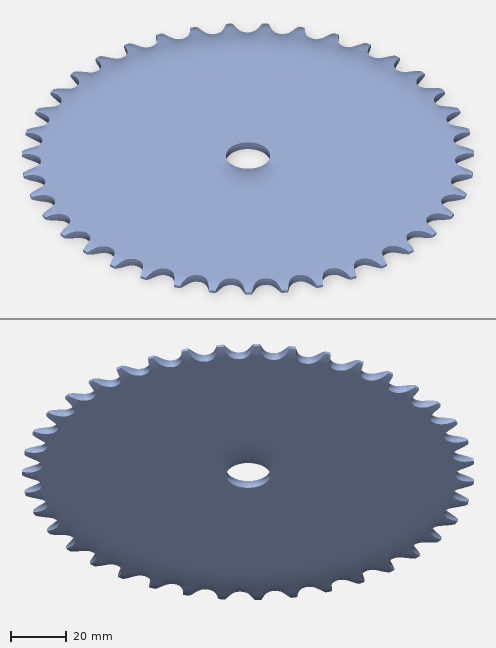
import cadquery as cq
import math

TOOTH_COUNT = 39
CHAIN_PITCH = 12.7
ROLLER_DIAMETER = 7.75
TIP_DIAMETER = 163.78
THICKNESS = 3.0
BORE_DIAMETER = 16.0
TOOTH_SIDE_RADIUS = 13.0
TOOTH_SIDE_DEPTH = 1.0
ROLLER_CLEARANCE = 0.038
FIRST_GAP_DIRECTION = 90.0
CUT_CLEARANCE = 1.5

TOOTH_ANGLE = 360.0 / TOOTH_COUNT
PITCH_RADIUS = CHAIN_PITCH / 2 / math.sin(math.pi / TOOTH_COUNT)
SEAT_RADIUS = 0.5025 * ROLLER_DIAMETER + ROLLER_CLEARANCE
SEAT_HALF_ANGLE = 55 - 60 / TOOTH_COUNT
WORKING_RADIUS = 1.3025 * ROLLER_DIAMETER + ROLLER_CLEARANCE
WORKING_ANGLE = 18 - 56 / TOOTH_COUNT
ROOT_RADIUS = PITCH_RADIUS - SEAT_RADIUS
TIP_RADIUS = TIP_DIAMETER / 2
TOOTH_SIDE_LENGTH = math.sqrt(TOOTH_SIDE_RADIUS**2 - (TOOTH_SIDE_RADIUS - TOOTH_SIDE_DEPTH) ** 2)
FACE_RADIUS = TIP_RADIUS - TOOTH_SIDE_LENGTH


def make_blank():
    """Turned disc with rounded rim sides and the central bore."""
    half = THICKNESS / 2
    bore = BORE_DIAMETER / 2
    tip_half = half - TOOTH_SIDE_DEPTH
    mid_angle = math.asin(TOOTH_SIDE_LENGTH / TOOTH_SIDE_RADIUS) / 2
    mid_radius = FACE_RADIUS + TOOTH_SIDE_RADIUS * math.sin(mid_angle)
    mid_half = half - TOOTH_SIDE_RADIUS * (1 - math.cos(mid_angle))
    return (
        cq.Workplane("XZ")
        .moveTo(bore, -half)
        .lineTo(FACE_RADIUS, -half)
        .threePointArc((mid_radius, -mid_half), (TIP_RADIUS, -tip_half))
        .lineTo(TIP_RADIUS, tip_half)
        .threePointArc((mid_radius, mid_half), (FACE_RADIUS, half))
        .lineTo(bore, half)
        .close()
        .revolve(360, (0, 0, 0), (0, 1, 0))
    )


def make_gap_cutter():
    """Tooth gap on +X: roller seat, wider concave working curve and straight flank, all tangent."""

    def arc_point(center, radius, angle):
        """Point of an arc, with the angle measured from the inward radial direction."""
        return (
            center[0] - radius * math.cos(math.radians(angle)),
            center[1] + radius * math.sin(math.radians(angle)),
        )

    def mirrored(point):
        return point[0], -point[1]

    seat_center = (PITCH_RADIUS, 0)
    seat_end = arc_point(seat_center, SEAT_RADIUS, SEAT_HALF_ANGLE)
    working_center = arc_point(seat_center, SEAT_RADIUS - WORKING_RADIUS, SEAT_HALF_ANGLE)
    working_end_angle = SEAT_HALF_ANGLE + WORKING_ANGLE
    working_mid = arc_point(working_center, WORKING_RADIUS, SEAT_HALF_ANGLE + WORKING_ANGLE / 2)
    working_end = arc_point(working_center, WORKING_RADIUS, working_end_angle)

    outer_x = TIP_RADIUS + CUT_CLEARANCE
    flank_slope = 1 / math.tan(math.radians(working_end_angle))
    outer = (outer_x, working_end[1] + (outer_x - working_end[0]) * flank_slope)
    return (
        cq.Workplane("XY")
        .workplane(offset=-THICKNESS / 2 - CUT_CLEARANCE)
        .moveTo(*mirrored(seat_end))
        .threePointArc((ROOT_RADIUS, 0), seat_end)
        .threePointArc(working_mid, working_end)
        .lineTo(*outer)
        .lineTo(*mirrored(outer))
        .lineTo(*mirrored(working_end))
        .threePointArc(mirrored(working_mid), mirrored(seat_end))
        .close()
        .extrude(THICKNESS + 2 * CUT_CLEARANCE)
    )


def cut_tooth_gaps(blank):
    """Cut one gap per tooth, evenly spaced around the rim."""
    gap = make_gap_cutter()
    cutters = []
    for index in range(TOOTH_COUNT):
        direction = FIRST_GAP_DIRECTION + index * TOOTH_ANGLE
        cutters.append(gap.rotate((0, 0, 0), (0, 0, 1), direction).val())
    return cq.Workplane(blank.val().cut(*cutters))


result = cut_tooth_gaps(make_blank())